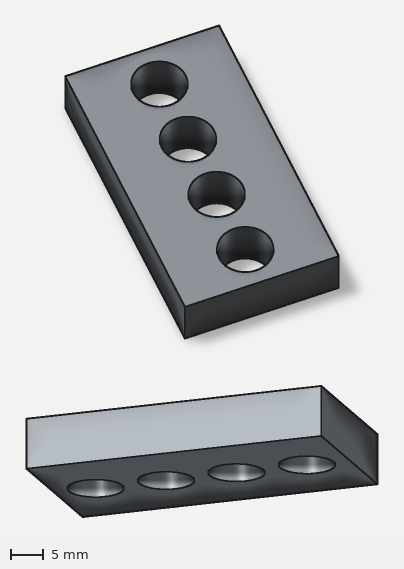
import cadquery as cq

length = 47.75
width = 25.4
thickness = 8.0

hole_count = 4
hole_diameter = 8.65
hole_pitch = 11.4
first_hole_from_left = 6.88

plate = cq.Workplane("XY").box(length, width, thickness)

first_hole_x = first_hole_from_left - length / 2
hole_centers = [(first_hole_x + i * hole_pitch, 0) for i in range(hole_count)]

result = plate.faces(">Z").workplane().pushPoints(hole_centers).hole(hole_diameter)